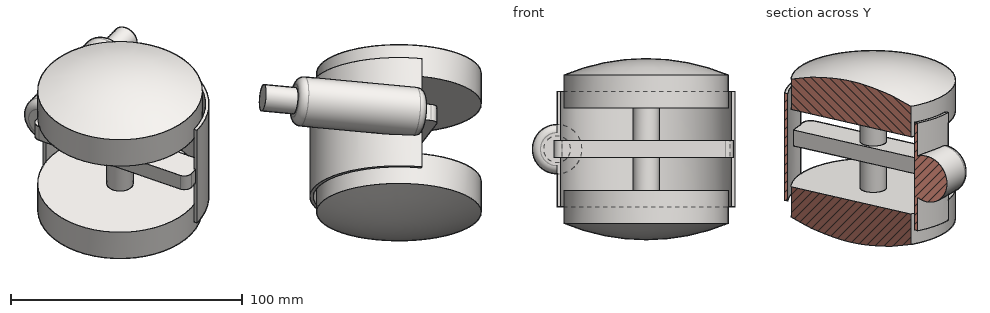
import cadquery as cq
import math


wheel_radius = 35.5
wheel_rim_width = 14.2
dome_height = 7.1
wheel_gap = 35.5
axle_radius = 5.8

guard_outer_radius = 38.4
guard_wall = 1.5
guard_inner_radius = guard_outer_radius - guard_wall
guard_height = 49.8

bar_left = -39.8
bar_right = 37.7
bar_depth = 14.2
bar_thickness = 7.4
bar_corner_radius = 3.5

barrel_radius = 10.7
barrel_length = 57.0
barrel_edge_radius = 3.5
stem_radius = 5.8
stem_length = 14.2
barrel_x = -guard_outer_radius


def make_upper_wheel():
    """Wheel with a flat inner face and a spherical dome on its outer face."""
    inner_z = wheel_gap / 2
    rim_z = inner_z + wheel_rim_width
    sphere_radius = (wheel_radius**2 + dome_height**2) / (2 * dome_height)
    sphere_center_z = rim_z + dome_height - sphere_radius
    half_angle = math.asin(wheel_radius / sphere_radius) / 2
    dome_mid = (
        sphere_radius * math.sin(half_angle),
        sphere_center_z + sphere_radius * math.cos(half_angle),
    )
    return (
        cq.Workplane("XZ")
        .moveTo(0, inner_z)
        .lineTo(wheel_radius, inner_z)
        .lineTo(wheel_radius, rim_z)
        .threePointArc(dome_mid, (0, rim_z + dome_height))
        .close()
        .revolve(360, (0, 0), (0, 1))
    )


def make_guard():
    """Thin half-cylinder wall on the +Y side of the wheel axis."""
    return (
        cq.Workplane("XY")
        .workplane(offset=-guard_height / 2)
        .moveTo(guard_outer_radius, 0)
        .threePointArc((0, guard_outer_radius), (-guard_outer_radius, 0))
        .lineTo(-guard_inner_radius, 0)
        .threePointArc((0, guard_inner_radius), (guard_inner_radius, 0))
        .close()
        .extrude(guard_height)
    )


def make_bar():
    """Flat bar across the guard, rounded at its two free corners."""
    return (
        cq.Workplane("XY")
        .box(bar_right - bar_left, bar_depth, bar_thickness)
        .edges("|Z and <Y")
        .fillet(bar_corner_radius)
        .translate(((bar_left + bar_right) / 2, 0, 0))
    )


def make_axle():
    """Axle spanning the gap and ending on the inner faces of the wheels."""
    return cq.Workplane("XY").circle(axle_radius).extrude(wheel_gap / 2, both=True)


def make_barrel():
    """Round-edged barrel with its stem, ending at mid-depth of the guard wall it joins."""
    barrel = (
        cq.Workplane("XZ")
        .center(barrel_x, 0)
        .circle(barrel_radius)
        .extrude(-barrel_length)
        .edges("%CIRCLE")
        .fillet(barrel_edge_radius)
    )
    stem = (
        cq.Workplane("XZ", origin=(barrel_x, barrel_length, 0))
        .circle(stem_radius)
        .extrude(-stem_length)
    )
    mid_wall_radius = guard_outer_radius - guard_wall / 2
    guard_space = cq.Workplane("XY").circle(mid_wall_radius).extrude(guard_height / 2, both=True)
    return barrel.union(stem).cut(guard_space)


def make_frame():
    """Guard, barrel, bar and axle as one solid."""
    return make_guard().union(make_barrel()).union(make_bar()).union(make_axle())


frame = make_frame()

wheels = []
for turn in (0, 180):
    wheel = make_upper_wheel().rotate((0, 0, 0), (1, 0, 0), turn)
    wheels.append(wheel.val())

result = cq.Compound.makeCompound([frame.solids().val(), *wheels])